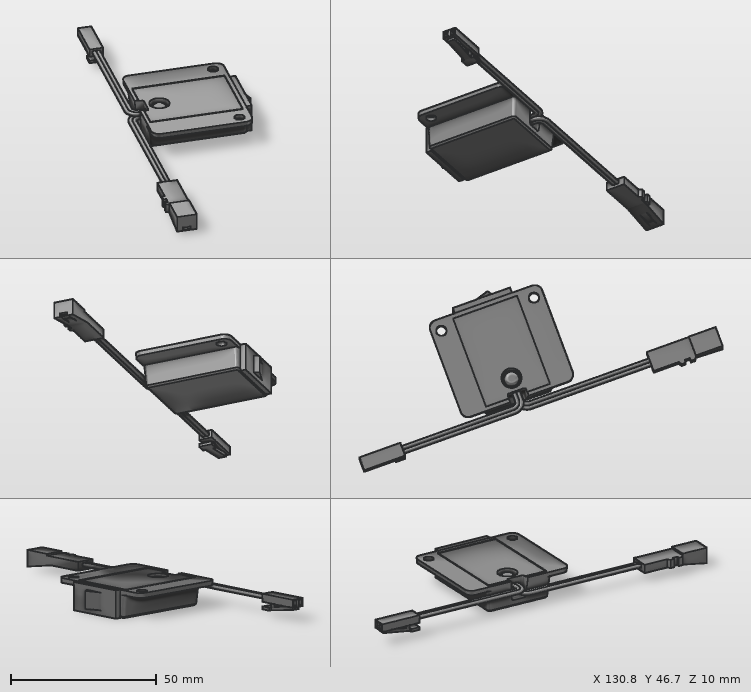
import cadquery as cq
import math


flange_x = 41.1
flange_y = 36.0
flange_thickness = 1.7
flange_corner_radius = 2.7
housing_height = 10.0
box_top_x = 25.9
draft_slope = 0.08
box_corner_radius = 1.2
box_bottom_chamfer = 0.7
mount_hole_diameter = 3.5
mount_hole_spacing = 33.9
mount_hole_to_rear_edge = 4.2

panel_x = 23.4
panel_rear_margin = 1.6
panel_front_margin = 1.5
panel_depth = 0.3

sensor_y = -10.1
well_diameter = 7.0
well_floor_diameter = 6.3
well_depth = 2.1
dome_diameter = 5.2
dome_flat_diameter = 2.1
dome_top_depth = 0.8

slot_top_width = 6.8
slot_bottom_width = 5.5
slot_length = 3.1
slot_depth = 7.5
slot_bottom_radius = 0.8
slot_back_radius = 0.7

bezel_x = 20.9
bezel_thickness = 2.0
rocker_projection = 1.8
rocker_height = 6.3
rocker_low_x = -2.9
rocker_apex_x = 2.9
rocker_high_x = 4.0

wire_diameter = 1.5
cable_y = -20.4
upper_cable_z = -3.0
bend_center_offset = 2.9

plug_left_end = -58.6
plug_length = 15.0
plug_width = 4.8
plug_height = 2.9
contact_spacing = 2.5
contact_width = 1.3
contact_height = 1.8
contact_depth = 3.9
latch_arm_width = 2.9
latch_thickness = 1.0
latch_root_inset = 1.0
latch_root_length = 1.7
latch_drop = 2.6
latch_pad_length = 3.4
latch_post_length = 1.5

socket_length = 25.2
socket_width = 7.0
socket_height = 3.1
cable_to_socket_top = 1.3
hood_length = 9.8
hood_rise = 0.7
hood_drop = 2.1
hood_slope_length = 11.9
window_width = 2.7
window_height = 0.8
window_sill = 0.5
grip_height = 1.0
grip_width = 2.2
grip_slope = 0.7
grip_gap = 1.8

flange_front = -flange_y / 2
flange_rear = flange_y / 2
slot_back = flange_front + slot_length
lower_cable_z = upper_cable_z - wire_diameter
plug_right_end = plug_left_end + plug_length
socket_right_end = plug_left_end + 130.8
socket_left_end = socket_right_end - socket_length


def block(x_range, y_range, z_range):
    """Axis-aligned box given by its limits."""
    size = [high - low for low, high in (x_range, y_range, z_range)]
    return cq.Workplane("XY").box(*size, centered=False).translate(
        (x_range[0], y_range[0], z_range[0])
    )


def drafted_slab(top_x, height, corner_radius):
    """Slab below Z = 0 as deep in Y as the flange, with rounded corners.

    The sides and the front lean inwards; the rear wall is upright.
    """
    inset = height * draft_slope
    slab = (
        cq.Workplane("XY")
        .rect(top_x, flange_y)
        .workplane(offset=-height)
        .center(0, inset / 2)
        .rect(top_x - 2 * inset, flange_y - inset)
        .loft(ruled=True)
    )
    return slab.edges("not(|X or |Y)").fillet(corner_radius)


def make_flange():
    flange = drafted_slab(flange_x, flange_thickness, flange_corner_radius)
    hole_y = flange_rear - mount_hole_to_rear_edge
    hole_places = [(side * mount_hole_spacing / 2, hole_y) for side in (-1, 1)]
    holes = (
        cq.Workplane("XY")
        .pushPoints(hole_places)
        .circle(mount_hole_diameter / 2)
        .extrude(-flange_thickness)
    )
    return flange.cut(holes)


def make_box():
    box = drafted_slab(box_top_x, housing_height, box_corner_radius)
    return box.faces("<Z").edges().chamfer(box_bottom_chamfer)


def make_panel_recess():
    return block(
        (-panel_x / 2, panel_x / 2),
        (flange_front + panel_front_margin, flange_rear - panel_rear_margin),
        (-panel_depth, 0),
    )


def make_sensor_well():
    return (
        cq.Workplane("XY", origin=(0, sensor_y, 0))
        .circle(well_diameter / 2)
        .workplane(offset=-well_depth)
        .circle(well_floor_diameter / 2)
        .loft()
    )


def make_sensor_dome():
    """Dome with a flat top, standing on the well floor."""
    rim = dome_diameter / 2
    flat = dome_flat_diameter / 2
    rise = well_depth - dome_top_depth
    diagonal = math.sqrt(0.5)
    profile = (
        cq.Workplane("XZ", origin=(0, sensor_y, -well_depth))
        .lineTo(rim, 0)
        .threePointArc((flat + (rim - flat) * diagonal, rise * diagonal), (flat, rise))
        .lineTo(0, rise)
        .close()
    )
    return profile.revolve(360, (0, 0, 0), (0, 1, 0))


def make_wire_slot():
    top = slot_top_width / 2
    bottom = slot_bottom_width / 2
    slot = (
        cq.Workplane("XZ", origin=(0, flange_front, 0))
        .polyline([(-top, 0), (top, 0), (bottom, -slot_depth), (-bottom, -slot_depth)])
        .close()
        .extrude(-slot_length)
    )
    slot = slot.faces("<Z").edges("|Y").fillet(slot_bottom_radius)
    return slot.faces(">Y").edges("not(>Z)").fillet(slot_back_radius)


def make_housing():
    housing = make_flange().union(make_box())
    housing = housing.cut(make_panel_recess())
    housing = housing.cut(make_sensor_well())
    housing = housing.union(make_sensor_dome())
    return housing.cut(make_wire_slot())


def make_rear_switch():
    bezel_rear = flange_rear + bezel_thickness
    bezel = block(
        (-bezel_x / 2, bezel_x / 2), (flange_rear, bezel_rear), (-housing_height, 0)
    )
    rocker_bottom = -(housing_height + rocker_height) / 2
    rocker = (
        cq.Workplane("XY", origin=(0, 0, rocker_bottom))
        .polyline(
            [
                (rocker_low_x, bezel_rear),
                (rocker_high_x, bezel_rear),
                (rocker_apex_x, bezel_rear + rocker_projection),
            ]
        )
        .close()
        .extrude(rocker_height)
    )
    return bezel.union(rocker)


def make_wire(side, is_outer, start_x, z):
    """Wire from a connector along X, then a quarter bend in Y to the slot's back wall.

    side is -1 for the left cable and 1 for the right one.
    """
    offset = wire_diameter / 2 if is_outer else -wire_diameter / 2
    straight_y = cable_y - offset
    end_x = -side * offset
    center_x = side * bend_center_offset
    radius = abs(end_x - center_x)
    center_y = straight_y + radius
    diagonal = radius * math.sqrt(0.5)
    path = (
        cq.Workplane("XY", origin=(0, 0, z))
        .moveTo(start_x, straight_y)
        .lineTo(center_x, straight_y)
        .threePointArc(
            (center_x - side * diagonal, center_y - diagonal), (end_x, center_y)
        )
        .lineTo(end_x, slot_back)
    )
    section = cq.Workplane("YZ", origin=(start_x, straight_y, z)).circle(wire_diameter / 2)
    return section.sweep(path)


def make_plug():
    top = upper_cable_z + plug_height / 2
    bottom = top - plug_height
    body = block(
        (plug_left_end, plug_right_end),
        (cable_y - plug_width / 2, cable_y + plug_width / 2),
        (bottom, top),
    )
    contacts = (
        cq.Workplane("YZ", origin=(plug_left_end, cable_y, upper_cable_z))
        .pushPoints([(side * contact_spacing / 2, 0) for side in (-1, 1)])
        .rect(contact_width, contact_height)
        .extrude(contact_depth)
    )
    return body.cut(contacts).union(make_latch(bottom))


def make_latch(plug_bottom):
    """Sloping spring arm hung below the plug, with a post and a wide pad at its free end."""
    root_x = plug_left_end + latch_root_inset
    pad_x = plug_right_end - latch_pad_length
    arm_bottom = plug_bottom - latch_drop
    arm = (
        cq.Workplane("XZ", origin=(0, cable_y, 0))
        .moveTo(root_x, plug_bottom)
        .lineTo(root_x + latch_root_length, plug_bottom)
        .lineTo(pad_x, arm_bottom + latch_thickness)
        .lineTo(pad_x, arm_bottom)
        .lineTo(root_x, plug_bottom - latch_thickness)
        .close()
        .extrude(latch_arm_width / 2, both=True)
    )
    post = block(
        (pad_x - latch_post_length, pad_x),
        (cable_y - latch_arm_width / 2, cable_y + latch_arm_width / 2),
        (arm_bottom + latch_thickness / 2, plug_bottom),
    )
    pad = block(
        (pad_x, plug_right_end),
        (cable_y - plug_width / 2, cable_y + plug_width / 2),
        (arm_bottom, arm_bottom + latch_thickness),
    )
    return arm.union(post).union(pad)


def make_socket():
    """Flat connector body that flares into a hood at its open end."""
    top = lower_cable_z + cable_to_socket_top
    bottom = top - socket_height
    hood_left = socket_right_end - hood_length
    hood_bottom = bottom - hood_drop
    socket = (
        cq.Workplane("XZ", origin=(0, cable_y, 0))
        .moveTo(socket_left_end, bottom)
        .lineTo(socket_left_end, top)
        .lineTo(hood_left, top)
        .lineTo(hood_left, top + hood_rise)
        .lineTo(socket_right_end, top + hood_rise)
        .lineTo(socket_right_end, hood_bottom)
        .lineTo(socket_right_end - hood_slope_length, bottom)
        .close()
        .extrude(socket_width / 2, both=True)
    )
    window_bottom = hood_bottom + window_sill
    window = block(
        (socket_right_end - hood_slope_length, socket_right_end),
        (cable_y - window_width / 2, cable_y + window_width / 2),
        (window_bottom, window_bottom + window_height),
    )
    socket = socket.cut(window)
    rib_root = cq.Workplane("XY", origin=(hood_left, cable_y - socket_width / 2, bottom))
    first_rib_end = -2 * grip_width - grip_gap
    for steep_x, sloped_x in ((-grip_width - grip_gap, first_rib_end), (-grip_width, 0)):
        socket = socket.union(make_grip_rib(rib_root, steep_x, sloped_x))
    return socket


def make_grip_rib(rib_root, steep_x, sloped_x):
    """Rib with one upright flank at steep_x and one sloping flank at sloped_x."""
    crest_x = sloped_x + math.copysign(grip_slope, steep_x - sloped_x)
    return (
        rib_root.moveTo(sloped_x, 0)
        .lineTo(steep_x, 0)
        .lineTo(steep_x, -grip_height)
        .lineTo(crest_x, -grip_height)
        .close()
        .extrude(socket_height)
    )


housing = make_housing()
rear_switch = make_rear_switch()
plug = make_plug()
socket = make_socket()

wires = []
for side, start_x, z in (
    (-1, plug_right_end, upper_cable_z),
    (1, socket_left_end, lower_cable_z),
):
    for is_outer in (False, True):
        wires.append(make_wire(side, is_outer, start_x, z).val())

result = cq.Compound.makeCompound(
    [housing.val(), rear_switch.val(), plug.val(), socket.val(), *wires]
)